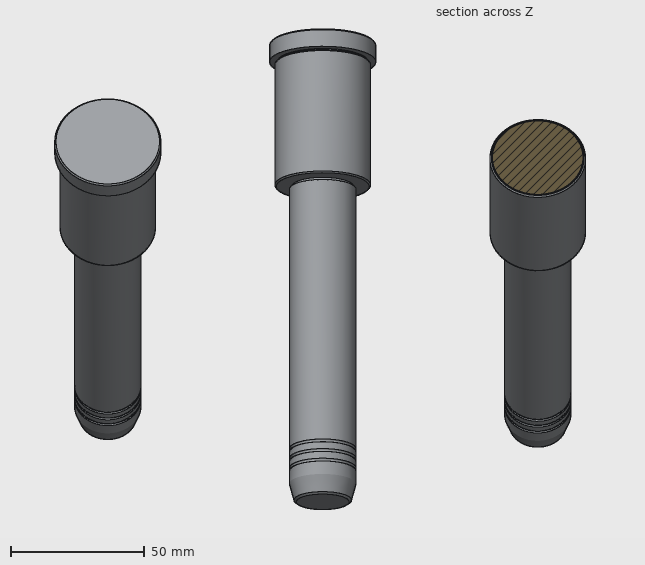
import cadquery as cq

total_length = 180.0
head_radius = 20.0
head_height = 7.0
head_chamfer = 0.5

body_radius = 18.0
body_bottom_z = 124.0
body_chamfer = 0.5

relief_depth = 0.9
relief_height = 0.5
neck_height = 1.0

shank_radius = 12.51
groove_section_radius = 0.5
groove_count = 3
groove_pitch = 3.8
lowest_groove_z = 12.8
tip_height = 7.0
tip_angle = 15.0
tip_chamfer = 0.7


def cylinder(radius, bottom_z, top_z):
    return cq.Workplane("XY").workplane(offset=bottom_z).circle(radius).extrude(top_z - bottom_z)


def round_groove(center_z):
    """Torus centred on the shank surface, leaving a half-round groove."""
    section = cq.Workplane("XZ").center(shank_radius, center_z).circle(groove_section_radius)
    return section.revolve(360, (-shank_radius, 0), (-shank_radius, 1))


def make_head():
    head = cylinder(head_radius, total_length - head_height, total_length)
    return head.faces(">Z").chamfer(head_chamfer)


def make_body():
    head_bottom_z = total_length - head_height
    body_top_z = head_bottom_z - relief_height
    body = cylinder(body_radius, body_bottom_z, body_top_z)
    body = body.faces("<Z or >Z").chamfer(body_chamfer)
    return body.union(cylinder(body_radius - relief_depth, body_top_z, head_bottom_z))


def make_shank():
    shank_top_z = body_bottom_z - neck_height
    shank = cylinder(shank_radius, tip_height, shank_top_z)
    shank = shank.union(cylinder(shank_radius - relief_depth, shank_top_z, body_bottom_z))
    for index in range(groove_count):
        shank = shank.cut(round_groove(lowest_groove_z + index * groove_pitch))
    return shank


def make_tip():
    tip = (
        cq.Workplane("XY")
        .workplane(offset=tip_height)
        .circle(shank_radius)
        .extrude(-tip_height, taper=tip_angle)
    )
    return tip.faces("<Z").chamfer(tip_chamfer)


result = make_head().union(make_body()).union(make_shank()).union(make_tip())